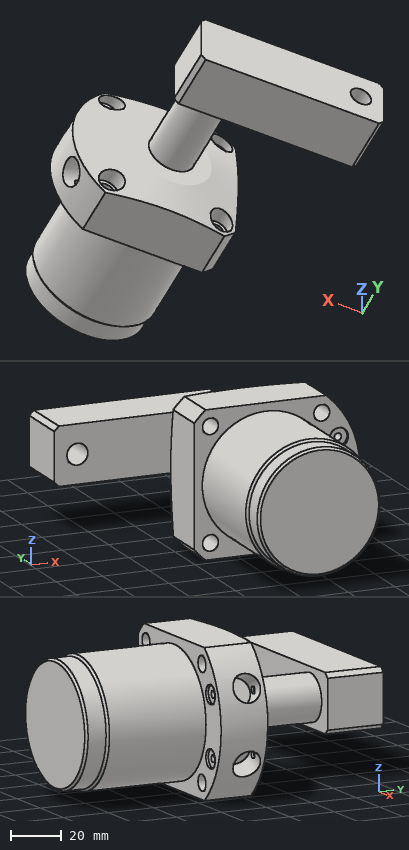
import cadquery as cq
import math


FLANGE_HALF = 31.0
FLANGE_TOP = 27.0
FLANGE_RADIUS = 40.5
CONE_ANGLE = 15.0
CONE_TOP_RADIUS = 17.5

SCREW_OFFSET = 24.0
SCREW_HOLE_DIAMETER = 6.8
SCREW_HEAD_DIAMETER = 10.5
SCREW_SEAT_HEIGHT = 17.0

PORT_ANGLE = 22.5
FEED_RADIUS = 34.0
FEED_DIAMETER = 3.0
SEAL_DIAMETER = 8.0
SEAL_DEPTH = 1.1
SIDE_PORT_DIAMETER = 12.0
SIDE_PORT_HEIGHT = 13.0
SIDE_PORT_FLOOR_RADIUS = FEED_RADIUS - FEED_DIAMETER
CUT_OVERRUN = 1.0
FEED_DEPTH = SIDE_PORT_HEIGHT + SIDE_PORT_DIAMETER / 2 + CUT_OVERRUN

BARREL_DIAMETER = 55.0
BARREL_LENGTH = 44.0
BARREL_CHAMFER = 1.0
CAP_DIAMETER = BARREL_DIAMETER - 2 * BARREL_CHAMFER
CAP_LENGTH = 9.0
CAP_CHAMFER = 1.0

ARM_SIZE = 25.0
ARM_LEFT = -65.0
ARM_LENGTH = 80.0
ARM_CHAMFER = 2.0
ARM_BOTTOM = 60.6
ARM_HOLE_DIAMETER = 9.0
ARM_HOLE_X = -55.0
ROD_DIAMETER = 20.0


def cylinder(diameter, start, end, x=0.0, z=0.0):
    """Solid cylinder parallel to Y between two heights."""
    base = cq.Workplane("XZ", origin=(x, start, z))
    return base.circle(diameter / 2).extrude(start - end)


def make_flange():
    """Conical-topped disc whose left, upper and lower sides are cut flat; the right side stays round."""
    cone_drop = (FLANGE_RADIUS - CONE_TOP_RADIUS) * math.tan(math.radians(CONE_ANGLE))
    disc = (
        cq.Workplane("XY")
        .polyline([
            (0, 0),
            (FLANGE_RADIUS, 0),
            (FLANGE_RADIUS, FLANGE_TOP - cone_drop),
            (CONE_TOP_RADIUS, FLANGE_TOP),
            (0, FLANGE_TOP),
        ])
        .close()
        .revolve(360, (0, 0), (0, 1))
    )
    flat_sides = (
        cq.Workplane("XY")
        .box(FLANGE_HALF + FLANGE_RADIUS, FLANGE_TOP, 2 * FLANGE_HALF, centered=(False, False, True))
        .translate((-FLANGE_HALF, 0, 0))
    )
    return disc.intersect(flat_sides)


def screw_cutter(x, z):
    """Through hole with a counterbore open to the conical top."""
    hole = cylinder(SCREW_HOLE_DIAMETER, 0, FLANGE_TOP, x, z)
    return hole.union(cylinder(SCREW_HEAD_DIAMETER, SCREW_SEAT_HEIGHT, FLANGE_TOP, x, z))


def port_cutter(side):
    """Radial side port crossed by the feed hole of the seal recess; side is +1 or -1 along Z."""
    angle = math.radians(side * PORT_ANGLE)
    outward = cq.Vector(math.cos(angle), 0, math.sin(angle))
    feed_axis = outward * FEED_RADIUS
    recess = cylinder(SEAL_DIAMETER, 0, SEAL_DEPTH, feed_axis.x, feed_axis.z)
    feed = cylinder(FEED_DIAMETER, 0, FEED_DEPTH, feed_axis.x, feed_axis.z)
    floor_centre = outward * SIDE_PORT_FLOOR_RADIUS + cq.Vector(0, SIDE_PORT_HEIGHT, 0)
    side_port = (
        cq.Workplane(cq.Plane(floor_centre, (0, 1, 0), outward))
        .circle(SIDE_PORT_DIAMETER / 2)
        .extrude(FLANGE_RADIUS + CUT_OVERRUN - SIDE_PORT_FLOOR_RADIUS)
    )
    return recess.union(feed).union(side_port)


def make_housing():
    barrel = cylinder(BARREL_DIAMETER, -BARREL_LENGTH, 0).faces("<Y").chamfer(BARREL_CHAMFER)
    flange = make_flange()
    for x in (-SCREW_OFFSET, SCREW_OFFSET):
        for z in (-SCREW_OFFSET, SCREW_OFFSET):
            flange = flange.cut(screw_cutter(x, z))
    for side in (-1, 1):
        flange = flange.cut(port_cutter(side))
    return flange.union(barrel)


def make_end_cap():
    cap = cylinder(CAP_DIAMETER, -BARREL_LENGTH - CAP_LENGTH, -BARREL_LENGTH)
    return cap.faces("<Y").chamfer(CAP_CHAMFER)


def make_rod():
    return cylinder(ROD_DIAMETER, FLANGE_TOP, ARM_BOTTOM)


def make_arm():
    arm = (
        cq.Workplane("XY")
        .box(ARM_LENGTH, ARM_SIZE, ARM_SIZE, centered=(False, False, True))
        .translate((ARM_LEFT, ARM_BOTTOM, 0))
        .edges("|Y")
        .chamfer(ARM_CHAMFER)
    )
    return arm.cut(cylinder(ARM_HOLE_DIAMETER, ARM_BOTTOM, ARM_BOTTOM + ARM_SIZE, ARM_HOLE_X))


housing = make_housing()
end_cap = make_end_cap()
rod = make_rod()
arm = make_arm()

result = cq.Compound.makeCompound([housing.val(), end_cap.val(), rod.val(), arm.val()])